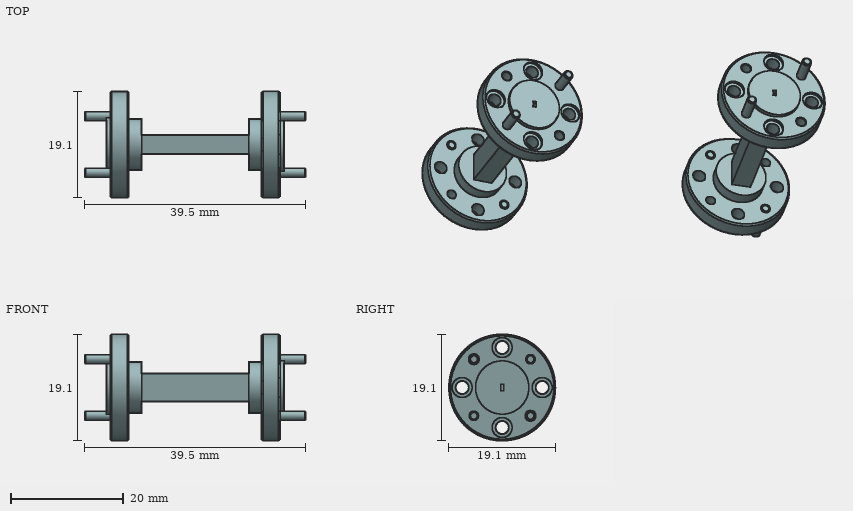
import cadquery as cq
import math

overall_length = 39.5
face_to_face = 31.75

flange_diameter = 19.05
flange_thickness = 3.35
flange_chamfer = 0.3
boss_diameter = 9.525
boss_height = 0.7
hub_diameter = 9.14
hub_length = 2.25

tube_width = 3.45
tube_height = 5.08
aperture_width = 0.546
aperture_height = 1.092
aperture_depth = 2.0

bolt_circle_radius = 14.29 / 2
screw_hole_diameter = 2.3
counterbore_diameter = 3.56
counterbore_depth = 0.5
alignment_hole_diameter = 1.7
alignment_hole_chamfer = 0.1
pin_diameter = 1.65
pin_chamfer = 0.2

boss_face = face_to_face / 2
flange_outer_face = boss_face - boss_height
flange_inner_face = flange_outer_face - flange_thickness
hub_end = flange_inner_face - hub_length
pin_length = overall_length / 2 - flange_inner_face


def bolt_circle_point(angle):
    """Y and Z of the point on the bolt circle at an angle in degrees."""
    turn = math.radians(angle)
    return (bolt_circle_radius * math.cos(turn), bolt_circle_radius * math.sin(turn))


screw_points = [bolt_circle_point(angle) for angle in (0, 90, 180, 270)]
pin_points = [bolt_circle_point(angle) for angle in (45, 225)]
alignment_points = [bolt_circle_point(angle) for angle in (135, 315)]


def at_x(x):
    """Workplane facing +X at the given X, with Y and Z as its own axes."""
    return cq.Workplane("YZ", origin=(x, 0, 0))


def cylinders(points, diameter, start, length):
    """Cylinders along X at the given Y and Z points; a negative length runs toward -X."""
    return at_x(start).pushPoints(points).circle(diameter / 2).extrude(length)


def turn_to_other_end(shape):
    """Half turn about Z, which takes the +X end to the -X end."""
    return shape.rotate((0, 0, 0), (0, 0, 1), 180)


def make_alignment_hole_mouth(point):
    """Cone that breaks the edge of an alignment hole at the flange's outer face."""
    hole_radius = alignment_hole_diameter / 2
    return cq.Workplane(
        cq.Solid.makeCone(
            hole_radius,
            hole_radius + alignment_hole_chamfer,
            alignment_hole_chamfer,
            pnt=cq.Vector(flange_outer_face - alignment_hole_chamfer, *point),
            dir=cq.Vector(1, 0, 0),
        )
    )


def make_flange_end():
    """The +X flange with its hub, raised boss and holes."""
    disc = at_x(flange_inner_face).circle(flange_diameter / 2).extrude(flange_thickness)
    disc = disc.faces("<X or >X").chamfer(flange_chamfer)
    hub = at_x(hub_end).circle(hub_diameter / 2).extrude(hub_length)
    boss = at_x(flange_outer_face).circle(boss_diameter / 2).extrude(boss_height)
    end = disc.union(hub).union(boss)

    end = end.cut(cylinders(screw_points, screw_hole_diameter, flange_inner_face, flange_thickness))
    end = end.cut(cylinders(screw_points, counterbore_diameter, flange_outer_face, -counterbore_depth))
    end = end.cut(cylinders(pin_points, pin_diameter, flange_inner_face, flange_thickness))
    end = end.cut(cylinders(alignment_points, alignment_hole_diameter, flange_inner_face, flange_thickness))

    for point in alignment_points:
        end = end.cut(make_alignment_hole_mouth(point))

    aperture = at_x(boss_face).rect(aperture_width, aperture_height).extrude(-aperture_depth)
    return end.cut(aperture)


def make_waveguide():
    """One body: the rectangular tube with a flange at each end."""
    tube = cq.Workplane("XY").box(2 * hub_end, tube_width, tube_height)
    flange_end = make_flange_end()
    return tube.union(flange_end).union(turn_to_other_end(flange_end))


def make_pin(point):
    """A +X dowel pin, chamfered at both ends, its inner end level with the flange."""
    pin = cylinders([point], pin_diameter, flange_inner_face, pin_length)
    return pin.faces("<X or >X").chamfer(pin_chamfer)


waveguide = make_waveguide()

pins = []
for pin_point in pin_points:
    pin = make_pin(pin_point)
    pins.append(pin.val())
    pins.append(turn_to_other_end(pin).val())

result = cq.Compound.makeCompound([waveguide.val(), *pins])